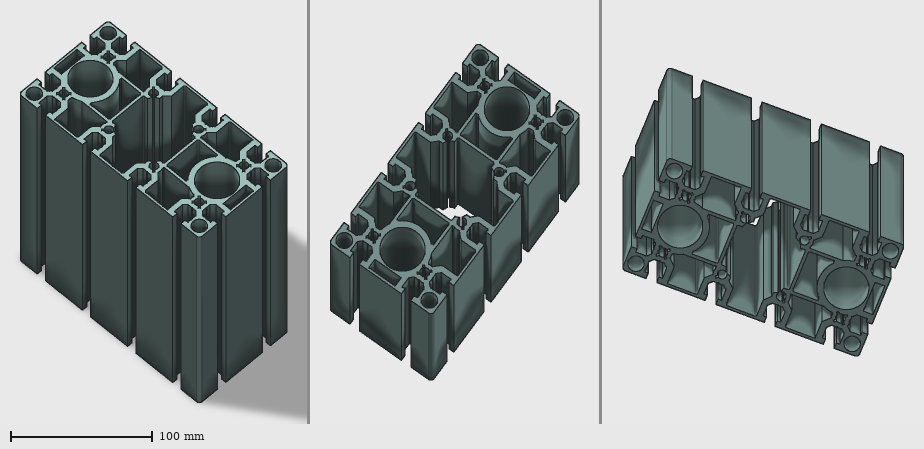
import cadquery as cq

LENGTH = 200.0
MODULE = 45.0
WIDTH = 4 * MODULE
DEPTH = 2 * MODULE
HALF_WIDTH = WIDTH / 2
HALF_DEPTH = DEPTH / 2
EDGE_RADIUS = 2.8

CORE_Y = MODULE / 2
INNER_CORE_X = MODULE / 2
OUTER_CORE_X = 3 * MODULE / 2

SLOT_MOUTH = 8.2
LIP = 4.5
SLOT_WIDTH = 13.5
SLOT_DEPTH = 15.5
SLOT_CHAMFER = 2.8
GROOVE_WIDTH = 1.0
GROOVE_DEPTH = 0.5

CORE_DIAMETER = 6.8
BOSS_RADIUS = 6.5
SLIT_WIDTH = 1.5
SLIT_REACH = 5.2
MOUTH_START = 3.5
MOUTH_END = 4.8
MOUTH_END_WIDTH = 8.5
MOUTH_REACH = 10.0

CORNER_HOLE_DIAMETER = 11.5
CORNER_HOLE_INSET = 7.8

BORE_INSET = 26.8
BORE_X = HALF_WIDTH - BORE_INSET
BORE_RADIUS = 16.0
TUBE_RADIUS = 20.8

SKIN = 2.0
WEB = 2.5
INNER_SLOT_WALL = 4.2
OUTER_SLOT_WALL = 4.5
WEB_INNER_Y = 16.0
WEB_OUTER_Y = WEB_INNER_Y + WEB
CROSS_WEB_INNER_X = 26.0
CROSS_WEB_OUTER_X = CROSS_WEB_INNER_X + WEB
SHOULDER_Y = HALF_DEPTH - SLOT_DEPTH
CHAMBER_TOP_Y = HALF_DEPTH - SKIN
INNER_WALL_OFFSET = SLOT_WIDTH / 2 + INNER_SLOT_WALL
OUTER_WALL_OFFSET = SLOT_WIDTH / 2 + OUTER_SLOT_WALL
CORE_WALL_OFFSET = CROSS_WEB_OUTER_X - INNER_CORE_X
TUBE_CHAMBER_END_X = 47.8
CHAMBER_RADIUS = 1.2

END_SKIN = 2.0
END_POCKET_WIDTH = 7.5
END_POCKET_HEIGHT = 23.0


def prism(points):
    """Full-length prism over a closed outline."""
    return cq.Workplane("XY").polyline(points).close().extrude(LENGTH)


def rod(x, y, radius):
    """Full-length cylinder."""
    return cq.Workplane("XY").center(x, y).circle(radius).extrude(LENGTH)


def bar(x, y, size_x, size_y):
    """Full-length rectangular bar."""
    return cq.Workplane("XY").center(x, y).rect(size_x, size_y).extrude(LENGTH)


def across_x(shape):
    """The shape together with its mirror image at -X."""
    return shape.union(shape.mirror("YZ"))


def in_all_quadrants(shape):
    """The shape repeated in the four quadrants of the section."""
    half = across_x(shape)
    return half.union(half.mirror("XZ"))


def t_slot(face_distance):
    """T-slot entering a face that lies at +Y, centred on X = 0, with a V groove along its floor."""
    half_mouth = SLOT_MOUTH / 2
    half_slot = SLOT_WIDTH / 2
    lip_y = face_distance - LIP
    floor_y = face_distance - SLOT_DEPTH
    right_side = [
        (half_mouth, face_distance),
        (half_mouth, lip_y),
        (half_slot, lip_y),
        (half_slot, floor_y + SLOT_CHAMFER),
        (half_slot - SLOT_CHAMFER, floor_y),
        (GROOVE_WIDTH / 2, floor_y),
    ]
    groove_bottom = (0, floor_y - GROOVE_DEPTH)
    left_side = [(-x, y) for x, y in reversed(right_side)]
    return prism(right_side + [groove_bottom] + left_side)


def slit(x, y, angle):
    """Relief slit running from a core centre into the surrounding wall."""
    cut = bar(SLIT_REACH / 2, 0, SLIT_REACH, SLIT_WIDTH)
    return cut.rotate((0, 0, 0), (0, 0, 1), angle).translate((x, y, 0))


def slit_mouth(x, y, angle):
    """Flared opening that joins an inner core to the central chamber."""
    half_start = SLIT_WIDTH / 2
    half_end = MOUTH_END_WIDTH / 2
    cut = prism([
        (0, -half_start),
        (MOUTH_START, -half_start),
        (MOUTH_END, -half_end),
        (MOUTH_REACH, -half_end),
        (MOUTH_REACH, half_end),
        (MOUTH_END, half_end),
        (MOUTH_START, half_start),
        (0, half_start),
    ])
    return cut.rotate((0, 0, 0), (0, 0, 1), angle).translate((x, y, 0))


def outer_chamber():
    """Chamber between an inner and an outer T-slot, above the long web."""
    left_x = INNER_CORE_X + INNER_WALL_OFFSET
    right_x = OUTER_CORE_X - OUTER_WALL_OFFSET
    left_taper = INNER_WALL_OFFSET - CORE_WALL_OFFSET
    right_taper = OUTER_WALL_OFFSET - BOSS_RADIUS
    chamber = prism([
        (left_x, CHAMBER_TOP_Y),
        (left_x, SHOULDER_Y),
        (left_x - left_taper, SHOULDER_Y - left_taper),
        (left_x - left_taper, WEB_OUTER_Y),
        (right_x + right_taper, WEB_OUTER_Y),
        (right_x + right_taper, SHOULDER_Y - right_taper),
        (right_x, SHOULDER_Y),
        (right_x, CHAMBER_TOP_Y),
    ])
    chamber = chamber.edges("|Z and >Y").edges("<X").fillet(CHAMBER_RADIUS)
    chamber = chamber.cut(rod(BORE_X, 0, TUBE_RADIUS))
    chamber = chamber.edges("|Z").edges(">X").edges("<Y").fillet(CHAMBER_RADIUS)
    return chamber.cut(rod(INNER_CORE_X, CORE_Y, BOSS_RADIUS))


def tube_chamber():
    """Chamber between the bore tube and the cross web."""
    size_x = TUBE_CHAMBER_END_X - CROSS_WEB_OUTER_X
    chamber = bar(CROSS_WEB_OUTER_X + size_x / 2, 0, size_x, 2 * WEB_INNER_Y)
    chamber = chamber.edges("|Z and <X").fillet(CHAMBER_RADIUS)
    return chamber.cut(rod(BORE_X, 0, TUBE_RADIUS))


def central_chamber():
    """Central chamber, with the four inner core bosses standing in its corners."""
    wall_x = INNER_CORE_X - INNER_WALL_OFFSET
    taper = INNER_CORE_X - BOSS_RADIUS - wall_x
    upper = prism([
        (wall_x, CHAMBER_TOP_Y),
        (wall_x, SHOULDER_Y),
        (wall_x + taper, SHOULDER_Y - taper),
        (wall_x + taper, 0),
        (-wall_x - taper, 0),
        (-wall_x - taper, SHOULDER_Y - taper),
        (-wall_x, SHOULDER_Y),
        (-wall_x, CHAMBER_TOP_Y),
    ])
    upper = upper.edges("|Z and >Y").fillet(CHAMBER_RADIUS)
    middle = bar(0, 0, 2 * CROSS_WEB_INNER_X, 2 * WEB_INNER_Y).edges("|Z").fillet(CHAMBER_RADIUS)
    bosses = in_all_quadrants(rod(INNER_CORE_X, CORE_Y, BOSS_RADIUS))
    return upper.union(upper.mirror("XZ")).union(middle).cut(bosses)


result = bar(0, 0, WIDTH, DEPTH).edges("|Z").fillet(EDGE_RADIUS)

wide_face_slot = t_slot(HALF_DEPTH)
for slot_x in (INNER_CORE_X, OUTER_CORE_X):
    result = result.cut(in_all_quadrants(wide_face_slot.translate((slot_x, 0, 0))))
narrow_face_slot = t_slot(HALF_WIDTH).rotate((0, 0, 0), (0, 0, 1), -90)
result = result.cut(in_all_quadrants(narrow_face_slot.translate((0, CORE_Y, 0))))

result = result.cut(in_all_quadrants(outer_chamber()))
result = result.cut(across_x(tube_chamber()))
result = result.cut(central_chamber())

result = result.cut(across_x(rod(BORE_X, 0, BORE_RADIUS)))
end_pocket_x = HALF_WIDTH - END_SKIN - END_POCKET_WIDTH / 2
result = result.cut(across_x(bar(end_pocket_x, 0, END_POCKET_WIDTH, END_POCKET_HEIGHT)))
corner_hole = rod(
    HALF_WIDTH - CORNER_HOLE_INSET, HALF_DEPTH - CORNER_HOLE_INSET, CORNER_HOLE_DIAMETER / 2
)
result = result.cut(in_all_quadrants(corner_hole))

outer_core = rod(OUTER_CORE_X, CORE_Y, CORE_DIAMETER / 2)
for angle in (45, 135, 225, 315):
    outer_core = outer_core.union(slit(OUTER_CORE_X, CORE_Y, angle))
inner_core = rod(INNER_CORE_X, CORE_Y, CORE_DIAMETER / 2)
inner_core = inner_core.union(slit(INNER_CORE_X, CORE_Y, 45))
inner_core = inner_core.union(slit_mouth(INNER_CORE_X, CORE_Y, 225))
result = result.cut(in_all_quadrants(outer_core)).cut(in_all_quadrants(inner_core))